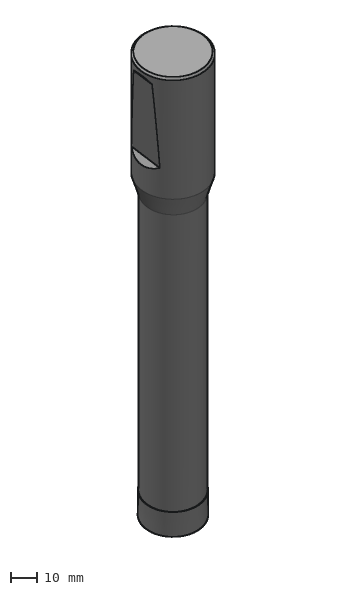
import cadquery as cq
import math

total_length = 235.0
shank_radius = 32.0 / 2
neck_radius = 26.3 / 2

point_angle = 140.0
tip_top = 17.2
tip_top_radius = 26.8 / 2
tip_bottom_radius = 27.0 / 2
point_height = tip_bottom_radius / math.tan(math.radians(point_angle / 2))

collar_bottom = total_length - 70.0
collar_top = total_length - 60.0
end_chamfer = 1.0

flat_bottom = 189.9
flat_length = 40.5
flat_top = flat_bottom + flat_length
flat_depth = 2.4
flat_slope = 2.0
top_ramp_angle = 30.0
flat_top_depth = flat_depth - flat_length * math.tan(math.radians(flat_slope))
cutter_overhang = 2.4

def make_tip():
    """Revolve the tapered band and its conical point."""
    profile = [
        (0, 0),
        (tip_bottom_radius, point_height),
        (tip_top_radius, tip_top),
        (0, tip_top),
    ]
    return cq.Workplane("XZ").polyline(profile).close().revolve(360, (0, 0), (0, 1))

def make_flat_cutter():
    """Wedge that removes the clamping flat and its two end ramps."""
    outer = shank_radius + cutter_overhang
    deep_y = shank_radius - flat_depth
    shallow_y = shank_radius - flat_top_depth
    top_ramp_run = (outer - shallow_y) / math.tan(math.radians(top_ramp_angle))
    profile = [
        (-outer, flat_bottom - (outer - deep_y)),
        (-deep_y, flat_bottom),
        (-shallow_y, flat_top),
        (-outer, flat_top + top_ramp_run),
    ]
    return cq.Workplane("YZ").polyline(profile).close().extrude(shank_radius, both=True)

def make_holder():
    """Revolve the neck, collar and shank, then cut the clamping flat."""
    profile = [
        (0, tip_top),
        (neck_radius, tip_top),
        (neck_radius, collar_bottom),
        (shank_radius, collar_top),
        (shank_radius, total_length - end_chamfer),
        (shank_radius - end_chamfer, total_length),
        (0, total_length),
    ]
    blank = cq.Workplane("XZ").polyline(profile).close().revolve(360, (0, 0), (0, 1))
    return blank.cut(make_flat_cutter())

holder = make_holder()
tip = make_tip()

result = cq.Compound.makeCompound([holder.val(), tip.val()])